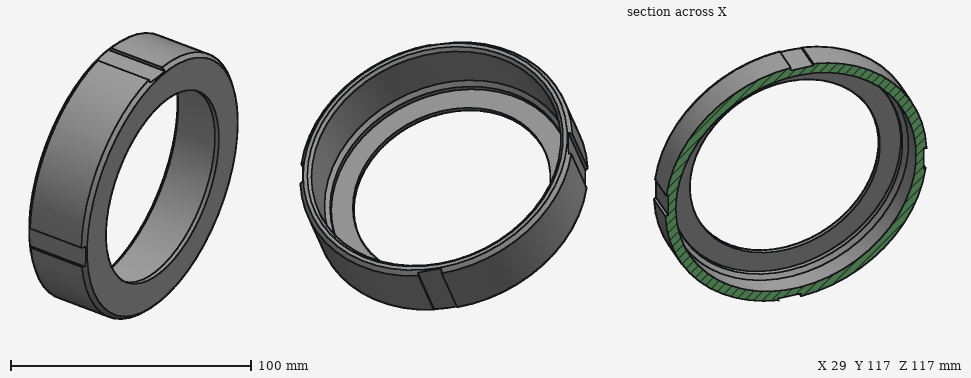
import cadquery as cq
import math

width = 29.0
half_span = 58.5
flange_thickness = 2.0
flange_bore_radius = 42.5

outer_chamfer = 1.8
thread_radius = 53.6
entry_chamfer = 1.4
relief_radius = 51.7
relief_length = 2.1

notch_width = 10.1
notch_short_side = 2.3
notch_floor_radius = 57.1
notch_count = 4

outer_radius = math.hypot(half_span, notch_short_side)
floor_x = width - flange_thickness
relief_x = floor_x - relief_length
thread_end_x = relief_x - (thread_radius - relief_radius)


def ring_body():
    """Revolve the half section (axial position, radius) about X."""
    section = [
        (0, thread_radius + entry_chamfer),
        (0, outer_radius - outer_chamfer),
        (outer_chamfer, outer_radius),
        (width - outer_chamfer, outer_radius),
        (width, outer_radius - outer_chamfer),
        (width, flange_bore_radius),
        (floor_x, flange_bore_radius),
        (floor_x, relief_radius),
        (relief_x, relief_radius),
        (thread_end_x, thread_radius),
        (entry_chamfer, thread_radius),
    ]
    return cq.Workplane("XY").polyline(section).close().revolve(360, (0, 0, 0), (1, 0, 0))


def notch_cutter(angle):
    """Full-width block with its flat floor on the notch floor, turned about X."""
    depth = outer_radius - notch_floor_radius
    block = cq.Workplane("XY").box(width, notch_width, depth, centered=False)
    block = block.translate((0, notch_short_side - notch_width, notch_floor_radius))
    return block.rotate((0, 0, 0), (1, 0, 0), angle)


result = ring_body()
for index in range(notch_count):
    result = result.cut(notch_cutter(index * 360 / notch_count))